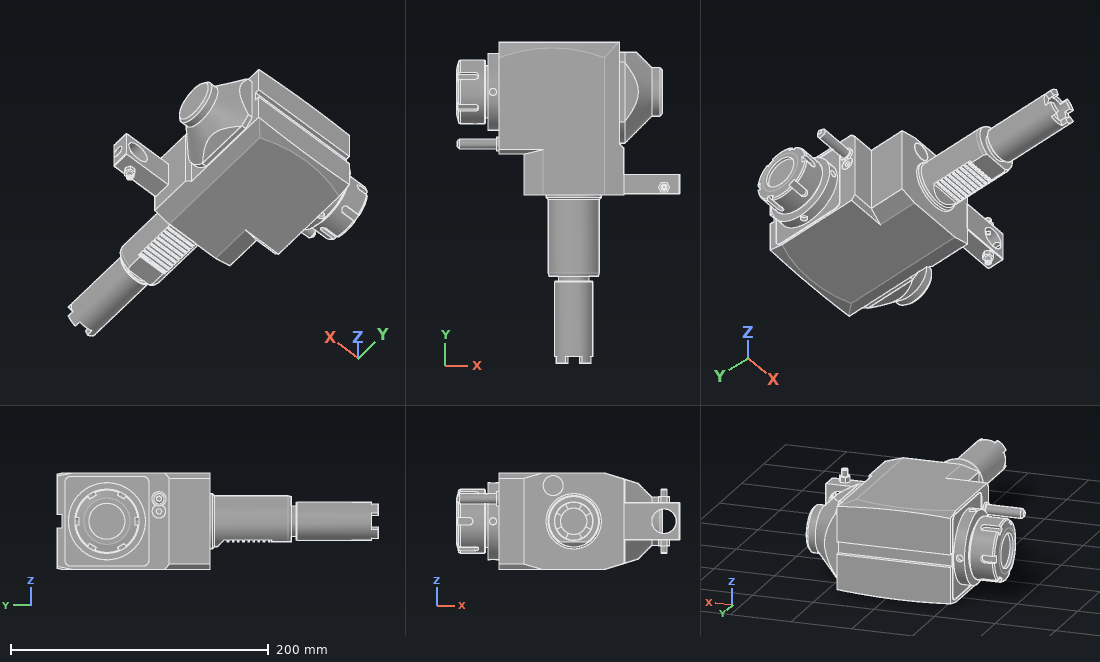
import cadquery as cq
import math


body_height = 75.0
half_height = body_height / 2
head_left = -58.0
head_right = 35.6
head_back = 118.6
head_front = 31.7
neck_left = -38.6
neck_right = 39.0
neck_back = 39.6
side_chamfer_x = 24.0
side_chamfer_drop = 4.2
right_slope = 0.31
front_chamfer_run = 3.5
back_cone_x = -17.0
back_cone_y = 0.7
back_cone_radius = 113.5
back_cone_slope = 0.22
back_slot_width = 10.2
back_slot_depth = 3.7
face_recess_depth = 0.5
face_recess_back = 112.7
face_recess_front = 47.4
face_recess_height = 69.8
face_recess_corner = 5.0
front_plug_x = -16.0
front_plug_z = 27.7
front_plug_radius = 7.7
plug_recess = 0.2

spindle_y = 80.0
collar_left = -66.5
collar_radius = 30.0
collar_hole_x = -62.5
collar_hole_radius = 2.7
collar_hole_depth = 3.7
collar_hole_count = 4
neck_ring_radius = 20.5
nut_left = -90.7
nut_right = -68.5
nut_radius = 25.0
nut_rim_radius = 24.2
nut_face_radius = 18.0
nut_face_length = 1.5
nut_rim_length = 1.5
nut_back_chamfer = 0.7
nut_bore_radius = 14.0
nut_bore_depth = 2.5
nut_slot_width = 6.0
nut_slot_end = -73.8
nut_side_slot_end = -78.3
nut_slot_floor = 21.7
nut_slot_spacing = 60

pin_y = 39.6
pin_z = 17.5
pin_left = -90.5
pin_radius = 4.0
pin_tip_chamfer = 2.0
pin_collar_radius = 5.5
pin_collar_length = 1.7
screw_z = 7.7
screw_radius = 5.2
screw_hex_size = 4.5
screw_hex_depth = 2.0

cap_flange_right = 39.6
cap_radius = 40.0
cap_tip_radius = 19.0
cap_right = 68.8
cap_edge = 2.0
cap_flat_y = 111.0
cap_flange_half_height = 32.5

bar_right = 82.3
bar_front = 0.7
bar_back = 16.0
bar_height = 29.5
bar_edge_chamfer = 0.5
bar_hole_x = 70.0
bar_hole_radius = 9.5
bar_end_hole_radius = 4.7
bar_screw_y = 6.0
bar_screw_top = 25.2
bar_screw_radius = 2.5
bar_screw_chamfer = 0.7
bar_screw_socket_size = 2.5
bar_screw_socket_depth = 2.5
bar_screw_bore_radius = 2.0
bar_screw_bore_top = 10.5
bar_nut_top = 19.2
bar_nut_size = 8.7

shank_end = -130.5
flange_radius = 21.5
flange_length = 2.0
flange_taper = 1.5
shank_radius = 20.0
shank_front = -63.0
shank_chamfer_length = 2.7
shank_chamfer = 0.7
groove_radius = 12.0
groove_front = -66.8
drive_radius = 15.0
drive_chamfer = 0.5
tang_front = -125.4
tang_bore_radius = 10.2
tang_bore_depth = 12.5
tang_slot_half_angle = 25
tang_slot_count = 4

rack_tip_z = -16.0
rack_root_z = -14.7
rack_start = -10.7
rack_first_tooth = -14.0
rack_pitch = 4.0
rack_tooth_width = 1.2
rack_tooth_count = 9


def box(x0, x1, y0, y1, z0, z1):
    """Box between two opposite corners."""
    return cq.Workplane("XY").box(x1 - x0, y1 - y0, z1 - z0, centered=False).translate((x0, y0, z0))


def cylinder_x(x0, x1, y, z, radius):
    """Cylinder along X from x0 to x1."""
    return cq.Workplane("YZ", origin=(x0, y, z)).circle(radius).extrude(x1 - x0)


def cylinder_y(y0, y1, x, z, radius):
    """Cylinder along Y from y0 to y1, y0 being the smaller."""
    return cq.Workplane("XZ", origin=(x, y1, z)).circle(radius).extrude(y1 - y0)


def turned_on_spindle(profile):
    """Solid turned about the spindle axis from (x, radius) points."""
    solid = cq.Workplane("XY").polyline(profile).close().revolve(360, (0, 0), (1, 0))
    return solid.translate((0, spindle_y, 0))


def right_side_envelope():
    """Long prism along Y whose right side slopes inward above and below."""
    far_x = bar_right
    far_z = half_height - right_slope * (far_x - side_chamfer_x)
    return (
        cq.Workplane("XZ", origin=(0, head_back, 0))
        .polyline([
            (head_left, -half_height), (side_chamfer_x, -half_height), (far_x, -far_z),
            (far_x, far_z), (side_chamfer_x, half_height), (head_left, half_height),
        ])
        .close()
        .extrude(head_back)
    )


def back_envelope():
    """Turned body with its axis along Z that slopes the upper and lower back edges."""
    outer_radius = 149.5
    outer_z = half_height - back_cone_slope * (outer_radius - back_cone_radius)
    return (
        cq.Workplane("XZ")
        .polyline([
            (0, -half_height), (back_cone_radius, -half_height), (outer_radius, -outer_z),
            (outer_radius, outer_z), (back_cone_radius, half_height), (0, half_height),
        ])
        .close()
        .revolve(360, (0, 0), (0, 1))
        .translate((back_cone_x, back_cone_y, 0))
    )


def make_housing():
    edge_z = half_height - side_chamfer_drop
    chamfer_y = head_front + front_chamfer_run
    head = (
        cq.Workplane("YZ", origin=(head_left, 0, 0))
        .polyline([
            (head_front, -edge_z), (chamfer_y, -half_height), (head_back, -half_height),
            (head_back, half_height), (chamfer_y, half_height), (head_front, edge_z),
        ])
        .close()
        .extrude(head_right - head_left)
    )
    neck = (
        cq.Workplane("XZ", origin=(0, neck_back, 0))
        .polyline([
            (neck_left, -edge_z), (-side_chamfer_x, -half_height), (neck_right, -half_height),
            (neck_right, half_height), (-side_chamfer_x, half_height), (neck_left, edge_z),
        ])
        .close()
        .extrude(neck_back)
        .edges("|Z and >X and >Y")
        .chamfer(neck_right - head_right)
    )
    return head.union(neck).intersect(right_side_envelope()).intersect(back_envelope())


def cut_housing_details(housing):
    slot = box(
        head_left, head_right, head_back - back_slot_depth, head_back,
        -back_slot_width / 2, back_slot_width / 2,
    )
    recess = box(
        head_left, head_left + face_recess_depth, face_recess_front, face_recess_back,
        -face_recess_height / 2, face_recess_height / 2,
    ).edges("|X").fillet(face_recess_corner)
    plug = cylinder_y(0, plug_recess, front_plug_x, front_plug_z, front_plug_radius)
    screw = cylinder_x(head_left, head_left + plug_recess, pin_y, screw_z, screw_radius)
    screw_hex = (
        cq.Workplane("YZ", origin=(head_left, pin_y, screw_z))
        .polygon(6, screw_hex_size)
        .extrude(screw_hex_depth)
    )
    return housing.cut(slot).cut(recess).cut(plug).cut(screw).cut(screw_hex)


def nut_slot_cutter(slot_end):
    """Round-ended wrench slot on the +Z side of an axis along X."""
    half_width = nut_slot_width / 2
    round_x = slot_end - half_width
    straight = box(nut_left, round_x, -half_width, half_width, nut_slot_floor, collar_radius)
    rounded = (
        cq.Workplane("XY", origin=(round_x, 0, nut_slot_floor))
        .circle(half_width)
        .extrude(collar_radius - nut_slot_floor)
    )
    return straight.union(rounded)


def make_spindle():
    rim_x = nut_left + nut_face_length
    seat_x = head_left + face_recess_depth
    spindle = turned_on_spindle([
        (nut_left + nut_bore_depth, 0),
        (nut_left + nut_bore_depth, nut_bore_radius),
        (nut_left, nut_bore_radius),
        (nut_left, nut_face_radius),
        (rim_x, nut_rim_radius),
        (rim_x + nut_rim_length, nut_radius),
        (nut_right - nut_back_chamfer, nut_radius),
        (nut_right, nut_radius - nut_back_chamfer),
        (nut_right, neck_ring_radius),
        (collar_left, neck_ring_radius),
        (collar_left, collar_radius),
        (seat_x, collar_radius),
        (seat_x, 0),
    ])
    for angle in range(nut_slot_spacing // 2, 360, nut_slot_spacing):
        slot_end = nut_side_slot_end if angle % 180 == 90 else nut_slot_end
        slot = nut_slot_cutter(slot_end).rotate((0, 0, 0), (1, 0, 0), angle)
        spindle = spindle.cut(slot.translate((0, spindle_y, 0)))
    hole = (
        cq.Workplane("XY", origin=(collar_hole_x, 0, collar_radius - collar_hole_depth))
        .circle(collar_hole_radius)
        .extrude(collar_hole_depth)
    )
    for i in range(collar_hole_count):
        angle = 360 / collar_hole_count * i
        spindle = spindle.cut(hole.rotate((0, 0, 0), (1, 0, 0), angle).translate((0, spindle_y, 0)))
    return spindle


def make_pin():
    pin = cylinder_x(pin_left, head_left, pin_y, pin_z, pin_radius).faces("<X").chamfer(pin_tip_chamfer)
    return pin.union(cylinder_x(head_left - pin_collar_length, head_left, pin_y, pin_z, pin_collar_radius))


def make_cap():
    tip_start = cap_flange_right + cap_radius - cap_tip_radius
    cap = turned_on_spindle([
        (head_right, 0),
        (head_right, cap_radius),
        (cap_flange_right, cap_radius),
        (tip_start, cap_tip_radius),
        (cap_right - cap_edge, cap_tip_radius),
        (cap_right, cap_tip_radius - cap_edge),
        (cap_right, 0),
    ])
    above_flat = box(head_right, cap_right, cap_flat_y, head_back + cap_radius, -cap_radius, cap_radius)
    cap = cap.cut(above_flat).intersect(right_side_envelope())
    flange_trim = box(head_right, cap_flange_right, 0, head_back, cap_flange_half_height, cap_radius)
    return cap.cut(flange_trim).cut(flange_trim.mirror("XY"))


def upright_at_screw(z):
    """Horizontal sketch plane at height z, centred on the clamping screws of the bar."""
    return cq.Workplane("XY", origin=(bar_hole_x, bar_screw_y, z))


def make_bar():
    half_bar = bar_height / 2
    bar = box(neck_right, bar_right, bar_front, bar_back, -half_bar, half_bar)
    outer_edges = "(>X and |Y) or (<Y and |X) or (>X and <Y and |Z)"
    bar = bar.edges(outer_edges).chamfer(bar_edge_chamfer)
    nuts = upright_at_screw(-bar_nut_top).polygon(6, bar_nut_size).extrude(2 * bar_nut_top)
    screws = (
        upright_at_screw(-bar_screw_top)
        .circle(bar_screw_radius)
        .extrude(2 * bar_screw_top)
        .faces("<Z or >Z")
        .chamfer(bar_screw_chamfer)
    )
    bar = bar.union(nuts).union(screws)
    for socket_floor in (-bar_screw_top, bar_screw_top - bar_screw_socket_depth):
        socket = upright_at_screw(socket_floor).polygon(6, bar_screw_socket_size)
        bar = bar.cut(socket.extrude(bar_screw_socket_depth))
    hole = cylinder_y(bar_front, bar_back, bar_hole_x, 0, bar_hole_radius)
    end_hole = cylinder_x(bar_hole_x, bar_right, bar_screw_y, 0, bar_end_hole_radius)
    screw_bore = upright_at_screw(-bar_screw_bore_top).circle(bar_screw_bore_radius)
    return bar.cut(hole).cut(end_hole).cut(screw_bore.extrude(2 * bar_screw_bore_top))


def make_shank():
    flange_front = -flange_length - flange_taper
    shank = (
        cq.Workplane("XY")
        .polyline([
            (0, 0),
            (flange_radius, 0),
            (flange_radius, -flange_length),
            (shank_radius, flange_front),
            (shank_radius, shank_front + shank_chamfer_length),
            (shank_radius - shank_chamfer, shank_front),
            (groove_radius, shank_front),
            (groove_radius, groove_front),
            (drive_radius - drive_chamfer, groove_front),
            (drive_radius, groove_front - drive_chamfer),
            (drive_radius, shank_end),
            (tang_bore_radius, shank_end),
            (tang_bore_radius, shank_end + tang_bore_depth),
            (0, shank_end + tang_bore_depth),
        ])
        .close()
        .revolve(360, (0, 0), (0, 1))
    )
    reach = 2 * drive_radius
    half_width = reach * math.tan(math.radians(tang_slot_half_angle))
    wedge = (
        cq.Workplane("XZ", origin=(0, tang_front, 0))
        .polyline([(0, 0), (reach, -half_width), (reach, half_width)])
        .close()
        .extrude(tang_front - shank_end)
    )
    for i in range(tang_slot_count):
        shank = shank.cut(wedge.rotate((0, 0, 0), (0, 1, 0), 360 / tang_slot_count * i))
    return shank.cut(rack_cutter())


def rack_cutter():
    """Material removed below the shank: a flat with a 45 degree run-in and straight-sided teeth."""
    depth = flange_radius + rack_root_z
    rack_end = rack_first_tooth - rack_pitch * (rack_tooth_count - 1) - rack_pitch / 2
    profile = [(rack_start + depth, rack_root_z - depth), (rack_start, rack_root_z)]
    for i in range(rack_tooth_count):
        tooth_y = rack_first_tooth - rack_pitch * i
        tooth_back = tooth_y + rack_tooth_width / 2
        tooth_front = tooth_y - rack_tooth_width / 2
        profile += [
            (tooth_back, rack_root_z), (tooth_back, rack_tip_z),
            (tooth_front, rack_tip_z), (tooth_front, rack_root_z),
        ]
    profile += [
        (rack_end, rack_root_z), (rack_end, rack_tip_z),
        (shank_front, rack_tip_z), (shank_front, rack_root_z - depth),
    ]
    width = 2 * flange_radius
    return cq.Workplane("YZ", origin=(-flange_radius, 0, 0)).polyline(profile).close().extrude(width)


result = cut_housing_details(make_housing())
for piece in (make_spindle(), make_pin(), make_cap(), make_bar(), make_shank()):
    result = result.union(piece)